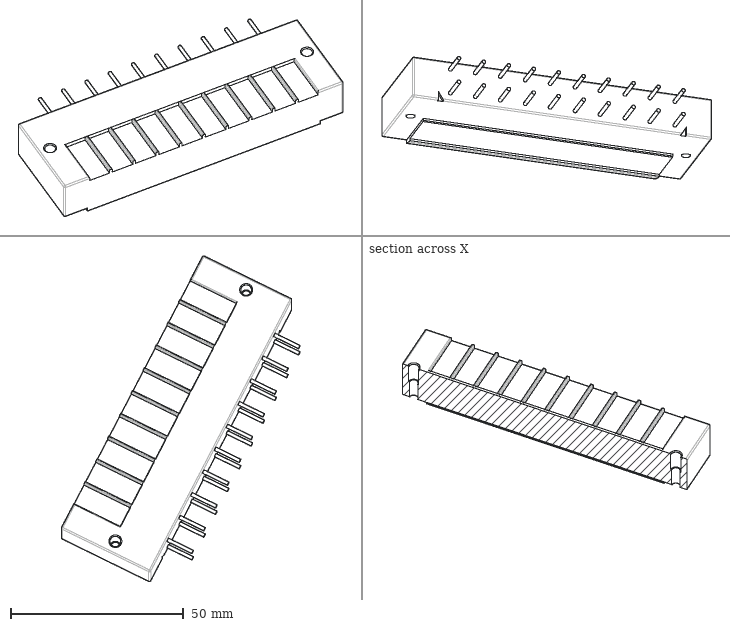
import cadquery as cq
import math

pole_count = 10
pin_row_length = 68.6
total_length_x = 37.0
body_length_x = 29.0
body_width_y = 91.4
total_height_z = 14.3
body_height_z = 12.7
edge_radius = 0.5

pitch = pin_row_length / (pole_count - 1)

x_max = total_length_x / 2
x_min = -x_max
body_x_min = x_max - body_length_x
z_max = total_height_z / 2
z_min = -z_max
body_z_min = z_max - body_height_z

pin_diameter = 1.1
pin_embed = 0.9
upper_row_z = 4.7
lower_row_z = upper_row_z - pitch

rib_width = 0.9
recess_x_min = 3.4
recess_depth = 1.3
recess_width_y = 74.8
rim_radius = 0.32

hole_x = 2.65
hole_y = 42.1
hole_diameter = 2.6
counterbore_diameter = 3.1
counterbore_depth = 6.4
hole_chamfer = 0.32
chamfer_angle = 45

cover_width_y = pole_count * pitch
cover_x_min = 2.8
cover_chamfer = 0.3
cover_z_min = -6.5
lip_x_min = 15.2
lip_flat = 0.9

notch_y = 37.9
notch_height = 2.6
notch_width = 1.6
notch_depth = 0.8


def block(x0, x1, width_y, z0, z1):
    """Box from x0 to x1 and z0 to z1, centred on Y = 0."""
    return cq.Workplane("XY").box(x1 - x0, width_y, z1 - z0).translate(((x0 + x1) / 2, 0, (z0 + z1) / 2))


def make_body():
    return block(body_x_min, x_max, body_width_y, body_z_min, z_max).edges().fillet(edge_radius)


def make_cover():
    profile = [
        (cover_x_min, body_z_min + edge_radius),
        (cover_x_min, cover_z_min + cover_chamfer),
        (cover_x_min + cover_chamfer, cover_z_min),
        (lip_x_min, cover_z_min),
        (lip_x_min, z_min),
        (lip_x_min + lip_flat, z_min),
        (x_max, cover_z_min),
        (x_max, body_z_min + edge_radius),
    ]
    return cq.Workplane("XZ").polyline(profile).close().extrude(cover_width_y / 2, both=True)


def make_rib_block():
    """Square-edged block that carries the ribs out to the flat +X face."""
    return block(recess_x_min, x_max, recess_width_y, z_max - recess_depth, z_max)


def make_label_slot(y0, y1):
    """Slot from y0 to y1 whose two upper rims are rounded over."""
    floor_z = z_max - recess_depth
    rim_z = z_max - rim_radius
    bend = rim_radius * (1 - math.sqrt(0.5))
    return (
        cq.Workplane("YZ", origin=(recess_x_min, 0, 0))
        .moveTo(y0, floor_z)
        .lineTo(y1, floor_z)
        .lineTo(y1, rim_z)
        .threePointArc((y1 + bend, z_max - bend), (y1 + rim_radius, z_max))
        .lineTo(y0 - rim_radius, z_max)
        .threePointArc((y0 - bend, z_max - bend), (y0, rim_z))
        .close()
        .extrude(x_max - recess_x_min)
    )


def make_label_slots():
    rib_centres = [(i - pole_count / 2) * pitch for i in range(1, pole_count)]
    starts = [-recess_width_y / 2] + [y + rib_width / 2 for y in rib_centres]
    ends = [y - rib_width / 2 for y in rib_centres] + [recess_width_y / 2]
    slots = cq.Workplane("XY")
    for y0, y1 in zip(starts, ends):
        slots = slots.add(make_label_slot(y0, y1))
    return slots.combine()


def make_pins():
    centres = []
    for i in range(pole_count):
        for z in (lower_row_z, upper_row_z):
            centres.append(((i - (pole_count - 1) / 2) * pitch, z))
    pin_length = body_x_min - x_min + pin_embed
    return cq.Workplane("YZ", origin=(x_min, 0, 0)).pushPoints(centres).circle(pin_diameter / 2).extrude(pin_length)


def make_holes():
    top = cq.Workplane("XY", origin=(0, 0, z_max)).pushPoints([(hole_x, -hole_y), (hole_x, hole_y)])
    bores = top.circle(hole_diameter / 2).extrude(-body_height_z)
    counterbores = top.circle(counterbore_diameter / 2).extrude(-counterbore_depth)
    chamfers = top.circle(counterbore_diameter / 2 + hole_chamfer).extrude(-hole_chamfer, taper=chamfer_angle)
    return bores.union(counterbores).union(chamfers)


def make_notch(side):
    corner = side * notch_y
    profile = [
        (corner, body_z_min),
        (corner, body_z_min + notch_height),
        (corner - side * notch_width, body_z_min),
    ]
    return cq.Workplane("YZ", origin=(body_x_min, 0, 0)).polyline(profile).close().extrude(notch_depth)


result = make_body().union(make_rib_block()).union(make_cover()).union(make_pins())
result = result.cut(make_label_slots()).cut(make_holes())
for side in (-1, 1):
    result = result.cut(make_notch(side))